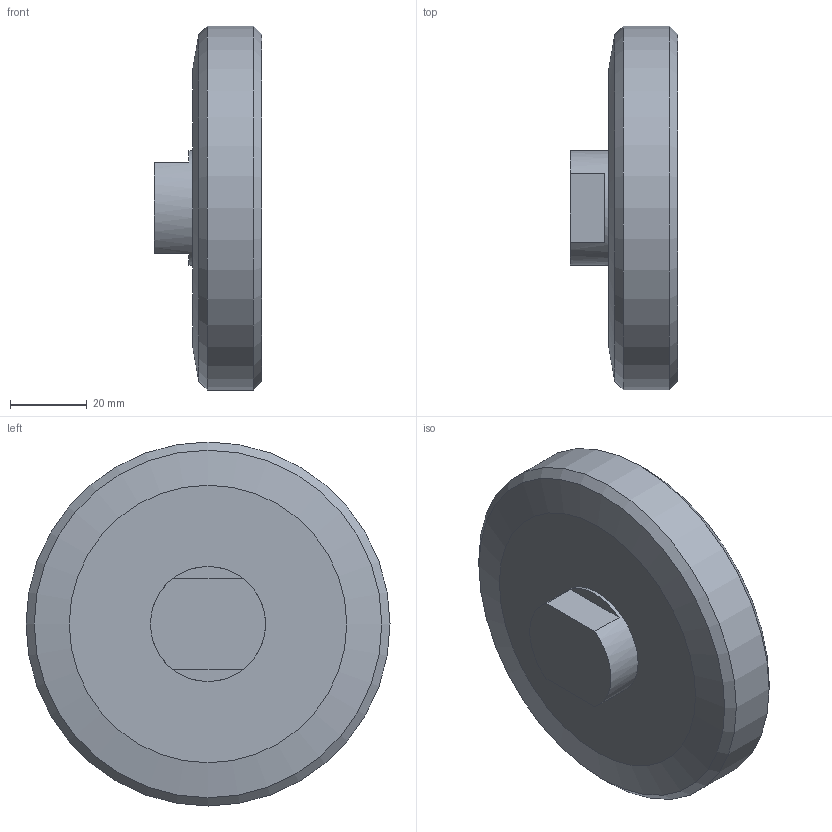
import cadquery as cq

disc_diameter = 95.0
disc_thickness = 18.0
boss_diameter = 30.0
boss_length = 10.0

front_face_diameter = 72.4
cone_depth = 1.6
rim_chamfer = 2.15

width_across_flats = 24.0
flat_length = 9.0

disc_radius = disc_diameter / 2
rim_inner_radius = disc_radius - rim_chamfer
boss_end_x = -boss_length


def make_disc():
    """Disc with its front face at X = 0, revolved from a half profile."""
    profile = (
        cq.Workplane("XY")
        .moveTo(0, 0)
        .lineTo(0, front_face_diameter / 2)
        .lineTo(cone_depth, rim_inner_radius)
        .lineTo(cone_depth + rim_chamfer, disc_radius)
        .lineTo(disc_thickness - rim_chamfer, disc_radius)
        .lineTo(disc_thickness, rim_inner_radius)
        .lineTo(disc_thickness, 0)
        .close()
    )
    return profile.revolve(360, (0, 0, 0), (1, 0, 0))


def make_boss():
    """Round boss in front of the disc, with a flat above and below."""
    boss = cq.Workplane("YZ", origin=(boss_end_x, 0, 0)).circle(boss_diameter / 2).extrude(boss_length)
    cut_height = (boss_diameter - width_across_flats) / 2
    cut_center_x = boss_end_x + flat_length / 2
    cut_center_z = (width_across_flats + cut_height) / 2
    cutter = cq.Workplane("XY").box(flat_length, boss_diameter, cut_height)
    for side in (1, -1):
        boss = boss.cut(cutter.translate((cut_center_x, 0, side * cut_center_z)))
    return boss


result = make_disc().union(make_boss())